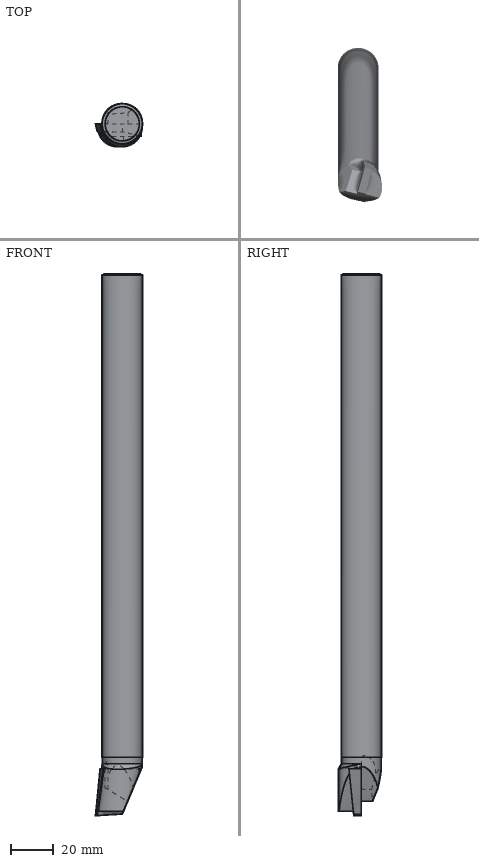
import cadquery as cq


total_length = 255.2
total_width = 22.2
shank_diameter = 19.1
shank_radius = shank_diameter / 2
top_chamfer_width = 1.5
top_chamfer_height = 0.8
neck_radius = 9.5
neck_top = 27.5
neck_bottom = 24.5

head_radius = 9.5
head_center_y = -1.4
head_bottom = 2.0
head_axis_bottom_x = -2.3
head_axis_top_x = 0.0
ledge_slope = 0.55
ledge_overlap = 1.3

relief_slope = 0.42
relief_top_z = 23.5

back_end_z = 6.6
back_end_x = 2.8
back_flat_y = 10.0
back_flat_slope_x = 0.25
back_flat_slope_z = 0.3

pocket_top = 28.5
pocket_floor_x = -7.0
pocket_floor_top = 21.5
pocket_floor_bottom = 12.5
pocket_ceiling_radius = 10.7
pocket_corner_diameter = 2.8

tip_x = shank_radius - total_width
insert_end_rise = 0.8
insert_height = 22.2
insert_top_x = -10.5
flank_clearance = 0.24
insert_bottom_depth = 3.5
insert_top_depth = 5.9

reach = 3 * shank_diameter


def relief_x(z):
    """X of the sloping relief plane at height z."""
    return shank_radius - relief_slope * (relief_top_z - z)


def front_block(bottom, top):
    """Block on the -Y side of the rake face plane, between two heights."""
    return cq.Workplane("XY", origin=(0, -reach / 2, bottom)).box(
        reach, reach, top - bottom, centered=(True, True, False)
    )


def make_shank():
    """Shank and neck turned about Z, with the +Y half continued down as the back of the head."""
    turned = (
        cq.Workplane("XZ")
        .moveTo(0, back_end_z)
        .lineTo(neck_radius, back_end_z)
        .lineTo(neck_radius, neck_top)
        .lineTo(shank_radius, neck_top)
        .lineTo(shank_radius, total_length - top_chamfer_height)
        .lineTo(shank_radius - top_chamfer_width, total_length)
        .lineTo(0, total_length)
        .close()
        .revolve(360, (0, 0), (0, 1))
    )
    flat_plane = cq.Plane(
        origin=(0, back_flat_y, neck_bottom),
        xDir=(1, back_flat_slope_x, 0),
        normal=(-back_flat_slope_x, 1, -back_flat_slope_z),
    )
    beyond_flat = cq.Workplane(flat_plane).rect(reach, reach).extrude(reach)
    return turned.cut(front_block(0, neck_bottom)).cut(beyond_flat)


def make_front_half():
    """Leaning half cylinder on the -Y side, topped by the conical ledge."""
    axis = cq.Vector(head_axis_top_x - head_axis_bottom_x, 0, neck_bottom)
    start = cq.Vector(head_axis_bottom_x, head_center_y, 0) - axis
    leaning = cq.Workplane(cq.Solid.makeCylinder(head_radius, 3 * axis.Length, start, axis))
    cone_top = neck_bottom + ledge_overlap
    cone_top_radius = neck_radius - ledge_slope * ledge_overlap
    ledge_cone = cq.Workplane(
        cq.Solid.makeCone(cone_top_radius + ledge_slope * cone_top, cone_top_radius, cone_top)
    )
    return leaning.intersect(ledge_cone).intersect(front_block(head_bottom, cone_top))


def make_relief_cut():
    """Wedge beyond the sloping relief plane, below the neck."""
    return (
        cq.Workplane("XZ")
        .moveTo(relief_x(0), 0)
        .lineTo(reach, 0)
        .lineTo(reach, relief_top_z)
        .lineTo(shank_radius, relief_top_z)
        .close()
        .extrude(reach / 2, both=True)
    )


def make_pocket():
    """Chip pocket above the rake face, with a rounded inner corner and a sloping lower end."""
    pocket = (
        cq.Workplane("XZ")
        .moveTo(-reach, pocket_top)
        .lineTo(-shank_radius, pocket_top)
        .radiusArc((pocket_floor_x, pocket_floor_top), pocket_ceiling_radius)
        .lineTo(pocket_floor_x, pocket_floor_bottom)
        .lineTo(back_end_x, back_end_z)
        .lineTo(-reach, back_end_z)
        .close()
        .extrude(-reach)
    )
    corner = cq.selectors.NearestToPointSelector(
        (pocket_floor_x, 0, (pocket_floor_top + pocket_floor_bottom) / 2)
    )
    return pocket.edges("|Z").edges(corner).fillet(pocket_corner_diameter / 2)


def insert_outline(workplane, flank_x, depth, z):
    """Closed outline of the insert at height z, from the rake face at y = 0 back to the given depth."""
    return (
        workplane
        .moveTo(flank_x, 0)
        .lineTo(flank_x + flank_clearance * depth, -depth)
        .lineTo(relief_x(z), -depth)
        .lineTo(relief_x(z), 0)
        .close()
    )


def make_insert():
    """Wedge-shaped insert, thicker at its upper end."""
    bottom = insert_outline(cq.Workplane("XY"), tip_x, insert_bottom_depth, 0)
    upper_plane = bottom.workplane(offset=insert_height)
    wedge = insert_outline(upper_plane, insert_top_x, insert_top_depth, insert_height).loft(ruled=True)
    end_clearance = (
        cq.Workplane("XZ")
        .moveTo(tip_x, 0)
        .lineTo(0, insert_end_rise)
        .lineTo(relief_x(0) + shank_radius, insert_end_rise)
        .lineTo(relief_x(0) + shank_radius, 0)
        .close()
        .extrude(reach, both=True)
    )
    return wedge.cut(end_clearance)


def make_bar(insert):
    """Shank and head in one piece, with a slot that fits the insert."""
    blank = make_shank().union(make_front_half())
    return blank.cut(make_relief_cut()).cut(make_pocket()).cut(insert)


insert = make_insert()
bar = make_bar(insert)
result = cq.Compound.makeCompound([bar.solids().val(), insert.solids().val()])